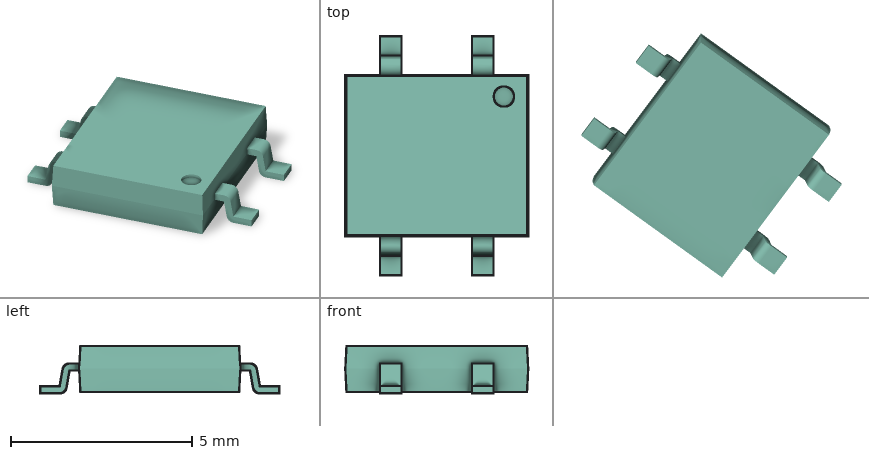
import cadquery as cq
import math

body_length = 5.05
body_width = 4.45
total_height = 1.31
standoff = 0.04
body_height = total_height - standoff
half_height = body_height / 2
parting_z = standoff + half_height
draft_angle = 3.0

lead_span = 6.6
lead_pitch = 2.54
lead_width = 0.6
lead_thickness = 0.2
lead_top_z = 0.83
lead_lean = 10.0
upper_bend_y = 2.485
lead_embed = 0.2
lead_root_y = body_width / 2 - lead_embed

mark_x = 1.85
mark_y = 1.63
mark_diameter = 0.56
mark_depth = 0.1


def make_body():
    parting_plane = cq.Workplane("XY").workplane(offset=parting_z)
    upper = parting_plane.rect(body_length, body_width).extrude(half_height, taper=draft_angle)
    lower = upper.mirror("XY", (0, 0, parting_z))
    return upper.union(lower)


def make_lead(x_center):
    """One lead on the +Y side: sharp inside corners, rounded outside corners."""
    lean = math.radians(lead_lean)
    slope_offset_y = lead_thickness * math.cos(lean)
    slope_offset_z = lead_thickness * math.sin(lean)

    half_turn = (math.pi / 2 - lean) / 2
    arc_mid_y = lead_thickness * math.sin(half_turn)
    arc_mid_z = lead_thickness * math.cos(half_turn)

    upper_bend_z = lead_top_z - lead_thickness
    lower_bend_z = lead_thickness
    slope_top_z = upper_bend_z + slope_offset_z
    slope_run = (slope_top_z - lower_bend_z) * math.tan(lean)
    lower_bend_y = upper_bend_y + slope_offset_y + slope_run
    foot_end_y = lead_span / 2

    profile = (
        cq.Workplane("YZ")
        .workplane(offset=x_center - lead_width / 2)
        .moveTo(lead_root_y, lead_top_z)
        .lineTo(upper_bend_y, lead_top_z)
        .threePointArc(
            (upper_bend_y + arc_mid_y, upper_bend_z + arc_mid_z),
            (upper_bend_y + slope_offset_y, slope_top_z),
        )
        .lineTo(lower_bend_y, lower_bend_z)
        .lineTo(foot_end_y, lower_bend_z)
        .lineTo(foot_end_y, 0)
        .lineTo(lower_bend_y, 0)
        .threePointArc(
            (lower_bend_y - arc_mid_y, lower_bend_z - arc_mid_z),
            (lower_bend_y - slope_offset_y, lower_bend_z - slope_offset_z),
        )
        .lineTo(upper_bend_y, upper_bend_z)
        .lineTo(lead_root_y, upper_bend_z)
        .close()
    )
    return profile.extrude(lead_width)


def make_mark():
    return (
        cq.Workplane("XY")
        .workplane(offset=total_height - mark_depth)
        .center(mark_x, mark_y)
        .circle(mark_diameter / 2)
        .extrude(mark_depth)
    )


result = make_body().cut(make_mark())
for x_center in (-lead_pitch / 2, lead_pitch / 2):
    lead = make_lead(x_center)
    result = result.union(lead).union(lead.mirror("XZ"))